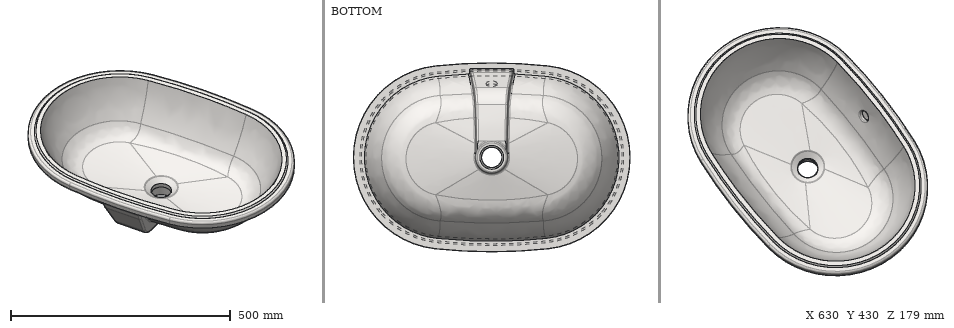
import cadquery as cq
import math

total_height = 179.0

rim_half_length = 630.0 / 2
rim_half_width = 430.0 / 2
rim_side_radius = 1197.0
flange_top = -4.0
flange_bottom = -20.0
flange_edge_round = 5.5
step_inset = 14.5
step_slope_width = 4.0
step_slope_height = 3.6

inner_rim = (286.5, 186.0, 1197.0, 0.0, 0.0)
inner_wall_middle = (266.5, 164.0, 1323.0, -47.0, 0.0)
inner_wall_foot = (238.0, 133.0, 1575.0, -90.0, 0.5)
inner_bend = (218.0, 116.5, 1197.0, -108.0, 2.0)
inner_floor_edge = (193.5, 94.5, 661.5, -118.0, 5.0)

outer_rim = (290.0, 191.0, 1197.0, flange_bottom, 0.0)
outer_wall_middle = (271.0, 172.0, 1323.0, -60.5, 1.0)
outer_wall_foot = (251.0, 147.5, 1575.0, -93.0, 2.0)
outer_bend = (226.0, 127.0, 1197.0, -117.0, 3.0)
outer_floor_edge = (195.0, 94.5, 661.5, -129.0, 3.0)

inner_drain_z = -130.5
outer_drain_radius = 34.5
outer_drain_z = -142.5
drain_mouth_radius = 38.0
drain_hole_diameter = 46.0
drain_funnel_depth = 10.0
drain_mouth_round = 4.0
drain_neck_depth = 11.0
drain_outlet_diameter = 54.0
stub_top_radius = 38.5
stub_bottom_radius = 36.0
stub_edge_round = 3.0

root_round = 3.0

overflow_diameter = 25.0
overflow_y = -159.5
overflow_z = -53.0
overflow_tilt = 30.0
overflow_depth = 9.5
overflow_edge_round = 2.5

channel_top_half_width = 50.5
channel_bottom_half_width = 33.0
channel_edge_round = 4.5
channel_rounding_start_y = -44.0
channel_heel = (-147.5, -143.0)
channel_heel_radius = 66.0
channel_foot = (-38.0, -169.5)
channel_underside = (-85.0, -162.0)
channel_knee = (-197.0, -46.5)
channel_knee_radius = 63.0
channel_allowance = 6.0
channel_top_y = -203.0
channel_hidden_side = ((-179.5, flange_bottom), (-126.0, -101.0), (-88.0, -126.0), (0.0, -131.0))

tolerance = 0.005
margin = 0.5


def oval(half_length, half_width, side_radius, z, shift_y=0):
    """Closed wire of two flat side arcs and two end arcs, tangent to each other."""
    end_center = ((half_length**2 - half_width**2 - 2 * side_radius * (half_length - half_width))
                  / (2 * (half_length - side_radius)))
    end_radius = half_length - end_center
    reach = side_radius / (side_radius - end_radius)
    joint_x = end_center * reach
    joint_y = (side_radius - half_width) * (reach - 1)
    return four_arcs(half_length, half_width, joint_x, joint_y, z, shift_y)


def circle(radius, z):
    """Circle split into the same four arcs as an oval, so that the two loft cleanly."""
    joint = radius / math.sqrt(2)
    return four_arcs(radius, radius, joint, joint, z)


def four_arcs(half_length, half_width, joint_x, joint_y, z, shift_y=0):
    return (
        cq.Workplane("XY", origin=(0, shift_y, z))
        .moveTo(-joint_x, joint_y)
        .threePointArc((0, half_width), (joint_x, joint_y))
        .threePointArc((half_length, 0), (joint_x, -joint_y))
        .threePointArc((0, -half_width), (-joint_x, -joint_y))
        .threePointArc((-half_length, 0), (-joint_x, joint_y))
        .close()
        .val()
    )


def loft(*wires, ruled=False):
    return cq.Workplane(cq.Solid.makeLoft(list(wires), ruled))


def bowl(rim, wall_middle, wall_foot, bend, floor_edge, drain_radius, drain_z):
    """Solid bounded by wall, bend and gently falling floor."""
    foot = oval(*wall_foot)
    edge = oval(*floor_edge)
    wall = loft(oval(*rim), oval(*wall_middle), foot)
    corner = loft(foot, oval(*bend), edge)
    floor = loft(edge, circle(drain_radius, drain_z), ruled=True)
    return wall.union(corner).union(floor)


def edge_near(y, z):
    return cq.selectors.NearestToPointSelector((0, y, z))


def plate(inset, bottom, top):
    wire = oval(rim_half_length - inset, rim_half_width - inset, rim_side_radius - inset, bottom)
    return cq.Workplane(cq.Solid.extrudeLinear(wire, [], cq.Vector(0, 0, top - bottom)))


def join_with_rounded_roots(parts, radius):
    """Union of the parts, rounding every edge that lies on the skins of two of them."""
    joined = parts[0]
    for part in parts[1:]:
        joined = joined.union(part)
    skins = [part.val().Shells()[0] for part in parts]

    def is_root(edge):
        middle = cq.Vertex.makeVertex(*edge.positionAt(0.5).toTuple())
        return sum(skin.distance(middle) < tolerance for skin in skins) > 1

    roots = [edge for edge in joined.edges().vals() if is_root(edge)]
    return joined.newObject(roots).fillet(radius)


def rim_flange():
    flange = plate(0, flange_bottom, flange_top).faces(">Z").edges().fillet(flange_edge_round)
    ring = plate(step_inset, flange_bottom, 0)
    ring = ring.faces(">Z").edges().chamfer(step_slope_height, step_slope_width)
    return flange.union(ring)


def drain_stub():
    length = total_height + inner_drain_z
    return (
        cq.Workplane("XY", origin=(0, 0, -total_height))
        .circle(stub_bottom_radius)
        .workplane(offset=length)
        .circle(stub_top_radius)
        .loft()
        .faces("<Z").edges().fillet(stub_edge_round)
    )


def overflow_channel():
    half_breadth = channel_top_half_width + channel_allowance
    depth_profile = (
        cq.Workplane("YZ", origin=(-half_breadth, 0, 0))
        .moveTo(0, channel_foot[1])
        .lineTo(*channel_foot)
        .threePointArc(channel_underside, channel_heel)
        .lineTo(*channel_knee)
        .lineTo(channel_top_y, flange_bottom)
        .polyline(channel_hidden_side, includeCurrent=True)
        .close()
        .extrude(2 * half_breadth)
        .edges(edge_near(*channel_heel)).fillet(channel_heel_radius)
        .edges(edge_near(*channel_knee)).fillet(channel_knee_radius)
    )
    front_profile = (
        cq.Workplane("XZ")
        .polyline([
            (-channel_top_half_width, flange_bottom),
            (channel_top_half_width, flange_bottom),
            (channel_bottom_half_width, -total_height),
            (-channel_bottom_half_width, -total_height),
        ])
        .close()
        .extrude(rim_half_width)
    )
    channel = depth_profile.intersect(front_profile)
    outer_edges = cq.selectors.BoxSelector(
        (-half_breadth, channel_top_y - margin, -total_height),
        (half_breadth, channel_rounding_start_y, flange_bottom - margin))
    side_edges = channel.faces("<X or >X").edges(outer_edges)
    return side_edges.fillet(channel_edge_round)


def overflow_hole():
    tilt = math.radians(overflow_tilt)
    inward = cq.Vector(0, math.cos(tilt), math.sin(tilt))
    mouth = cq.Vector(0, overflow_y, overflow_z)
    start = mouth - inward * overflow_depth
    return cq.Workplane(cq.Solid.makeCylinder(
        overflow_diameter / 2, overflow_depth * 2, start, inward))


def drain_mouth_edges():
    reach = drain_mouth_radius + margin
    return cq.selectors.BoxSelector(
        (-reach, -reach, inner_drain_z - margin), (reach, reach, inner_drain_z + margin), boundingbox=True)


def drain_hole():
    hole_radius = drain_hole_diameter / 2
    funnel = cq.Workplane(cq.Solid.makeCone(
        hole_radius, drain_mouth_radius, drain_funnel_depth,
        cq.Vector(0, 0, inner_drain_z - drain_funnel_depth)))
    bore = cq.Workplane("XY", origin=(0, 0, -total_height)).circle(hole_radius).extrude(total_height)
    outlet_top = inner_drain_z - drain_funnel_depth - drain_neck_depth
    outlet = (
        cq.Workplane("XY", origin=(0, 0, -total_height))
        .circle(drain_outlet_diameter / 2)
        .extrude(total_height + outlet_top)
    )
    return funnel.union(bore).union(outlet)


shell = bowl(
    outer_rim, outer_wall_middle, outer_wall_foot, outer_bend,
    outer_floor_edge, outer_drain_radius, outer_drain_z)
cavity = bowl(
    inner_rim, inner_wall_middle, inner_wall_foot, inner_bend,
    inner_floor_edge, drain_mouth_radius, inner_drain_z)

body = join_with_rounded_roots([shell, drain_stub(), overflow_channel()], root_round)
body = body.union(rim_flange()).cut(cavity).cut(drain_hole())
body = body.edges(drain_mouth_edges()).fillet(drain_mouth_round)
body = body.cut(overflow_hole())
overflow_mouth = edge_near(overflow_y, overflow_z)
result = body.edges(overflow_mouth).fillet(overflow_edge_round)